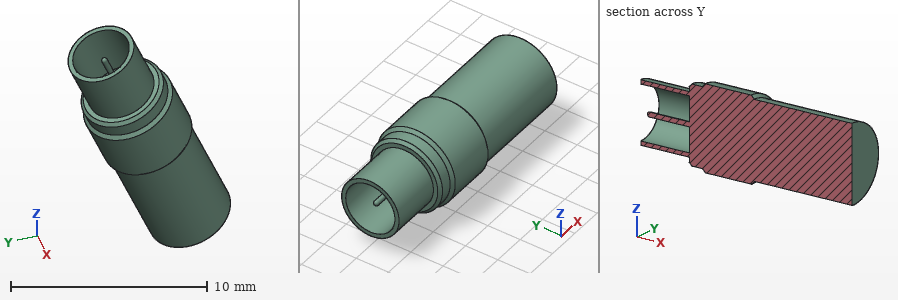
import cadquery as cq

length = 13.49

sleeve_radius = 1.78
bore_radius = 1.52
sleeve_length = 3.08
bore_depth = sleeve_length

barrel_radius = 2.23
step_chamfer = 0.18

collar_radius = 2.41
collar_start = 3.93
collar_end = 7.25
collar_chamfer = collar_radius - barrel_radius

pin_radius = 0.15
pin_tip_x = 0.4


def revolve_about_x(profile):
    """Revolve a closed (x, radius) outline fully around the X axis."""
    outline = cq.Workplane("XY").polyline(profile).close()
    return outline.revolve(360, (0, 0, 0), (1, 0, 0))


shell_profile = [
    (bore_depth, 0),
    (bore_depth, bore_radius),
    (0, bore_radius),
    (0, sleeve_radius),
    (sleeve_length, sleeve_radius),
    (sleeve_length, barrel_radius - step_chamfer),
    (sleeve_length + step_chamfer, barrel_radius),
    (collar_start, barrel_radius),
    (collar_start + collar_chamfer, collar_radius),
    (collar_end - collar_chamfer, collar_radius),
    (collar_end, barrel_radius),
    (length, barrel_radius),
    (length, 0),
]
shell = revolve_about_x(shell_profile)

pin_root_x = bore_depth + pin_radius
pin_dome_center_x = pin_tip_x + pin_radius
pin_shank = cq.Workplane("YZ", origin=(pin_dome_center_x, 0, 0))
pin_shank = pin_shank.circle(pin_radius).extrude(pin_root_x - pin_dome_center_x)
pin_dome = cq.Workplane("XY", origin=(pin_dome_center_x, 0, 0)).sphere(pin_radius)
pin = pin_shank.union(pin_dome)

result = shell.union(pin)